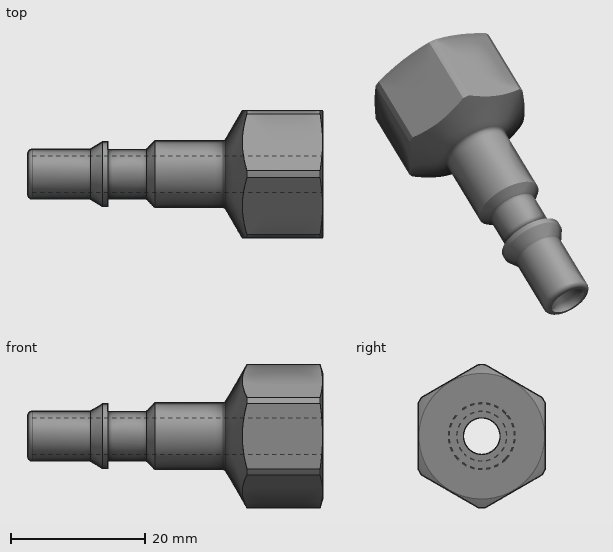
import cadquery as cq

length = 44.0
across_flats = 19.0
across_corners = 21.4

bore_diameter = 5.4
tip_diameter = 7.5
ring_diameter = 9.7
neck_diameter = 7.4
body_diameter = 10.0

ring_cone_start = 9.35
ring_land_start = 11.18
ring_end = 11.95
body_cone_start = 17.7
body_start = 18.95
hex_cone_start = 29.4
hex_cone_end = 32.7

tip_round = 0.7
hex_cone_fillet = 0.45
end_face_diameter = 18.75
end_chamfer_length = 0.4


def turned_envelope():
    """Solid of revolution about X that bounds the stem and the hexagon."""
    profile = [
        (0, 0),
        (0, tip_diameter / 2),
        (ring_cone_start, tip_diameter / 2),
        (ring_land_start, ring_diameter / 2),
        (ring_end, ring_diameter / 2),
        (ring_end, neck_diameter / 2),
        (body_cone_start, neck_diameter / 2),
        (body_start, body_diameter / 2),
        (hex_cone_start, body_diameter / 2),
        (hex_cone_end, across_corners / 2),
        (length - end_chamfer_length, across_corners / 2),
        (length, end_face_diameter / 2),
        (length, 0),
    ]
    envelope = cq.Workplane("XY").polyline(profile).close().revolve(360, (0, 0, 0), (1, 0, 0))
    envelope = envelope.faces("<X").edges().fillet(tip_round)
    selection_margin = 0.05
    cone_root = cq.selectors.BoxSelector(
        (hex_cone_start - selection_margin, -body_diameter, -body_diameter),
        (hex_cone_start + selection_margin, body_diameter, body_diameter),
        boundingbox=True,
    )
    return envelope.edges(cone_root).fillet(hex_cone_fillet)


def hexagon_bar():
    """Full-length hexagonal bar with flats on +Y and -Y and corners on +Z and -Z."""
    return cq.Workplane("YZ").polygon(6, across_flats, circumscribed=True).extrude(length)


def through_bore():
    """Straight bore along the whole axis."""
    return cq.Workplane("YZ").circle(bore_diameter / 2).extrude(length)


result = turned_envelope().intersect(hexagon_bar()).cut(through_bore())